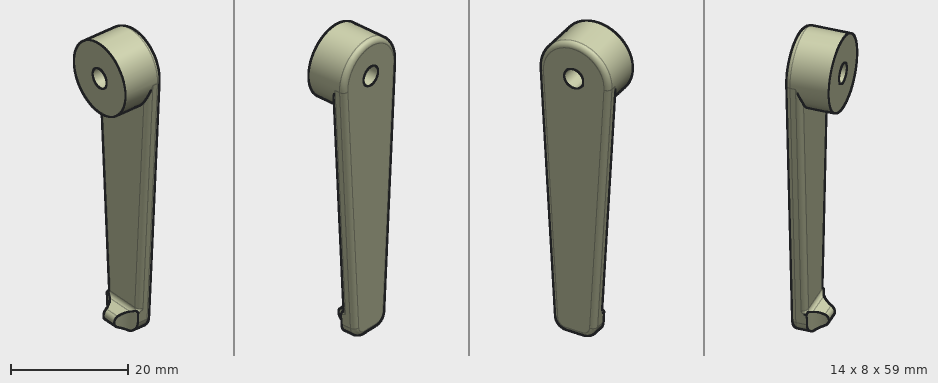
import cadquery as cq
import math

total_length = 59.0
hub_diameter = 14.0
hub_depth = 8.0
bore_diameter = 3.8
arm_thickness = 3.0
edge_radius = 1.0
end_half_width = 4.0
end_corner_radius = 2.5

hook_reach = 6.0
hook_root_height = 4.5
hook_tip_radius = 1.25
hook_tip_half_width = 1.5
side_scoop_radius = hook_reach - arm_thickness

hub_radius = hub_diameter / 2
end_z = hub_radius - total_length

end_distance = math.hypot(end_half_width, end_z)
tangent_angle = math.atan2(end_z, end_half_width) + math.acos(hub_radius / end_distance)
tangent_x = hub_radius * math.cos(tangent_angle)
tangent_z = hub_radius * math.sin(tangent_angle)


def make_planform():
    """Tapered arm outline with rounded lower corners, as deep as the hook."""
    outline = [
        (-tangent_x, tangent_z),
        (-end_half_width, end_z),
        (end_half_width, end_z),
        (tangent_x, tangent_z),
    ]
    blank = cq.Workplane("XZ").polyline(outline).close().extrude(hook_reach)
    return blank.edges("|Y").edges("<Z").fillet(end_corner_radius)


def make_side_profile():
    """Flat arm and symmetric, round-tipped hook, extruded across the width."""
    tip_z = end_z + hook_root_height / 2
    tip_center_y = -hook_reach + hook_tip_radius

    root_run = -arm_thickness - tip_center_y
    root_distance = math.hypot(root_run, hook_root_height / 2)
    root_angle = math.atan2(hook_root_height / 2, root_run)
    flank_angle = root_angle + math.acos(hook_tip_radius / root_distance)
    flank_y = tip_center_y + hook_tip_radius * math.cos(flank_angle)
    flank_rise = hook_tip_radius * math.sin(flank_angle)

    profile = (
        cq.Workplane("YZ")
        .moveTo(0, tangent_z)
        .lineTo(-arm_thickness, tangent_z)
        .lineTo(-arm_thickness, end_z + hook_root_height)
        .lineTo(flank_y, tip_z + flank_rise)
        .threePointArc((-hook_reach, tip_z), (flank_y, tip_z - flank_rise))
        .lineTo(-arm_thickness, end_z)
        .lineTo(0, end_z)
        .close()
    )
    return profile.extrude(hub_radius, both=True)


def make_side_scoop(side):
    """Quarter-round cutter that narrows one side of the hook toward its tip."""
    center_x = hook_tip_half_width + side_scoop_radius
    cutter_height = hook_root_height + edge_radius
    scoop = (
        cq.Workplane("XY", origin=(0, 0, end_z))
        .center(side * center_x, -hook_reach)
        .circle(side_scoop_radius)
        .extrude(cutter_height)
    )
    return scoop


def make_arm():
    """Arm with rounded front edges, a blended hook root and a narrowed hook."""
    arm = make_planform().intersect(make_side_profile())
    front_edges = cq.selectors.BoxSelector(
        (-hub_radius, -arm_thickness - edge_radius / 2, end_z + hook_root_height / 2),
        (hub_radius, -arm_thickness + edge_radius / 2, tangent_z - edge_radius),
    )
    arm = arm.edges(front_edges).fillet(edge_radius)
    for side in (-1, 1):
        arm = arm.cut(make_side_scoop(side))
    return arm


hub = cq.Workplane("XZ").circle(hub_radius).extrude(hub_depth)
body = hub.union(make_arm())
body = body.faces(">Y").edges().fillet(edge_radius)
bore = cq.Workplane("XZ").circle(bore_diameter / 2).extrude(hub_depth)
result = body.cut(bore)